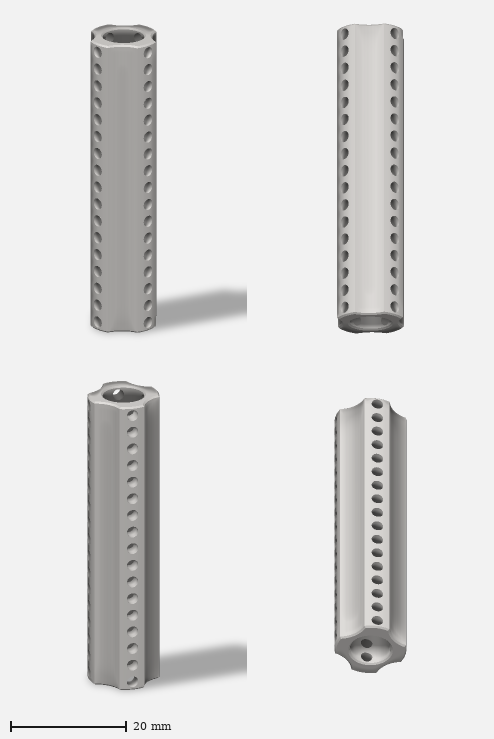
import cadquery as cq
import math

length = 53.1
outer_diameter = 12.5
bore_diameter = 7.2
lobe_width = 4.45
flute_root_radius = 5.0
edge_chamfer = 0.28
hole_diameter = 2.0
holes_per_row = 17
lobe_count = 4

outer_radius = outer_diameter / 2
lobe_step = 360.0 / lobe_count
lobe_half_angle = math.degrees(math.asin(lobe_width / 2 / outer_radius))
hole_pitch = length / holes_per_row


def polar_point(radius, angle):
    """Point in the XY plane at a radius from the axis and an angle in degrees."""
    a = math.radians(angle)
    return (radius * math.cos(a), radius * math.sin(a))


def fluted_profile():
    """Closed outline of convex lobes joined by concave flute arcs."""
    outline = cq.Workplane("XY").moveTo(*polar_point(outer_radius, -lobe_half_angle))
    for i in range(lobe_count):
        lobe = i * lobe_step
        outline = outline.threePointArc(
            polar_point(outer_radius, lobe),
            polar_point(outer_radius, lobe + lobe_half_angle),
        )
        outline = outline.threePointArc(
            polar_point(flute_root_radius, lobe + lobe_step / 2),
            polar_point(outer_radius, lobe + lobe_step - lobe_half_angle),
        )
    return outline.close()


def fluted_tube():
    """Fluted bar with an axial bore, chamfered on the outer and bore edges of both ends."""
    bar = fluted_profile().extrude(length)
    tube = bar.faces(">Z").workplane().circle(bore_diameter / 2).cutThruAll()
    return tube.faces("<Z or >Z").edges().chamfer(edge_chamfer)


def cross_holes(plane):
    """Row of hole cylinders along the tube, each passing through two opposite lobes."""
    centres = [(0, (i + 0.5) * hole_pitch) for i in range(holes_per_row)]
    return (
        cq.Workplane(plane)
        .pushPoints(centres)
        .circle(hole_diameter / 2)
        .extrude(outer_radius, both=True)
    )


result = fluted_tube()
for row_plane in ("XZ", "YZ"):
    result = result.cut(cross_holes(row_plane))